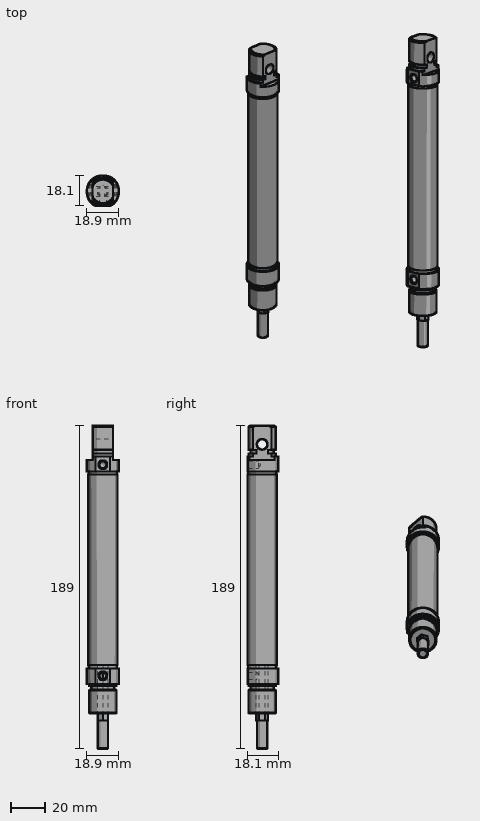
import cadquery as cq
import math

overall_length = 189.0
rod_hex_bottom = 16.5
bearing_cap_bottom = 20.6
bearing_groove_bottom = 34.5
bearing_groove_top = 36.7
bearing_collar_bottom = 37.8
bearing_collar_top = 47.0
barrel_bottom = 49.0
barrel_top = 160.5
end_collar_bottom = 162.2
end_flats_bottom = 169.0
end_collar_top = 171.0
end_groove_bottom = 172.7
end_groove_top = 174.6

collar_diameter = 18.9
barrel_diameter = 17.2
neck_diameter = 16.6
thread_diameter = 16.0
groove_diameter = 13.6
rod_diameter = 6.0
rod_hex_width = rod_diameter
end_flat_width = 12.0
port_face_depth = 1.04

pivot_hole_diameter = 6.0
pivot_hole_height = 178.0
port_diameter = 4.2
port_mouth_diameter = 5.1
port_drill_angle = 118.0
port_depth = 6.2
bearing_port_height = 42.7
end_port_height = 166.1
bearing_chamfer_radial = 0.8
bearing_chamfer_axial = 0.5
end_groove_chamfer = 0.4
tip_chamfer_radial = 1.1
tip_chamfer_axial = 0.8
rod_chamfer = 0.5

collar_radius = collar_diameter / 2
barrel_radius = barrel_diameter / 2
neck_radius = neck_diameter / 2
thread_radius = thread_diameter / 2
groove_radius = groove_diameter / 2
port_face_offset = collar_radius - port_face_depth


def turned(profile):
    """Solid of revolution about Z, from (radius, height) points listed upwards."""
    points = [(0, profile[0][1])] + profile + [(0, profile[-1][1])]
    return cq.Workplane("XZ").polyline(points).close().revolve(360, (0, 0), (0, 1))


def hex_bar(bottom, top):
    """Hexagonal bar on the axis, with corners toward +Y and -Y."""
    across_corners = rod_hex_width / math.cos(math.radians(30))
    bar = cq.Workplane("XY").polygon(6, across_corners).extrude(top - bottom)
    return bar.rotate((0, 0, 0), (0, 0, 1), 90).translate((0, 0, bottom))


def port_face_cut(bottom, top):
    """Block that mills the flat face on the -Y side of a collar."""
    block = cq.Workplane("XY").box(collar_diameter, collar_diameter, top - bottom)
    return block.translate((0, -port_face_offset - collar_radius, (bottom + top) / 2))


def port_cut(height):
    """Port drilled along +Y from its flat face, with a chamfered mouth and a drill point."""
    radius = port_diameter / 2
    mouth_radius = port_mouth_diameter / 2
    point_length = radius / math.tan(math.radians(port_drill_angle / 2))
    outline = [
        (0, 0),
        (mouth_radius, 0),
        (radius, mouth_radius - radius),
        (radius, port_depth),
        (0, port_depth + point_length),
    ]
    drill = cq.Workplane("XZ").polyline(outline).close().revolve(360, (0, 0), (0, 1))
    return drill.rotate((0, 0, 0), (1, 0, 0), -90).translate((0, -port_face_offset, height))


def make_piston_rod():
    threaded_end = cq.Workplane("XY").circle(rod_diameter / 2).extrude(rod_hex_bottom)
    threaded_end = threaded_end.faces("<Z").chamfer(rod_chamfer)
    return threaded_end.union(hex_bar(rod_hex_bottom, barrel_bottom))


def make_bearing_cap():
    cap = turned([
        (thread_radius - bearing_chamfer_radial, bearing_cap_bottom),
        (thread_radius, bearing_cap_bottom + bearing_chamfer_axial),
        (thread_radius, bearing_groove_bottom - bearing_chamfer_axial),
        (thread_radius - bearing_chamfer_radial, bearing_groove_bottom),
        (groove_radius, bearing_groove_bottom),
        (groove_radius, bearing_groove_top),
        (thread_radius, bearing_groove_top),
        (thread_radius, bearing_collar_bottom),
        (collar_radius, bearing_collar_bottom),
        (collar_radius, bearing_collar_top),
        (neck_radius, bearing_collar_top),
        (neck_radius, barrel_bottom),
    ])
    cap = cap.cut(port_face_cut(bearing_collar_bottom, bearing_collar_top))
    cap = cap.cut(port_cut(bearing_port_height))
    return cap.cut(hex_bar(bearing_cap_bottom, barrel_bottom))


def make_barrel():
    length = barrel_top - barrel_bottom
    return cq.Workplane("XY").workplane(offset=barrel_bottom).circle(barrel_radius).extrude(length)


def make_end_cap():
    cap = turned([
        (neck_radius, barrel_top),
        (neck_radius, end_collar_bottom),
        (collar_radius, end_collar_bottom),
        (collar_radius, end_collar_top),
        (thread_radius, end_collar_top),
        (thread_radius, end_groove_bottom),
        (groove_radius, end_groove_bottom),
        (groove_radius, end_groove_top),
        (thread_radius - end_groove_chamfer, end_groove_top),
        (thread_radius, end_groove_top + end_groove_chamfer),
        (thread_radius, overall_length - tip_chamfer_axial),
        (thread_radius - tip_chamfer_radial, overall_length),
    ])
    cap = cap.cut(port_face_cut(end_collar_bottom, end_collar_top))
    cap = cap.cut(port_cut(end_port_height))

    flats_height = overall_length - end_flats_bottom
    flats_middle = end_flats_bottom + flats_height / 2
    for side in (-1, 1):
        block = cq.Workplane("XY").box(collar_diameter, collar_diameter, flats_height)
        cap = cap.cut(block.translate((side * (end_flat_width / 2 + collar_radius), 0, flats_middle)))

    pivot_hole = (
        cq.Workplane("YZ", origin=(0, 0, pivot_hole_height))
        .circle(pivot_hole_diameter / 2)
        .extrude(collar_radius, both=True)
    )
    return cap.cut(pivot_hole)


piston_rod = make_piston_rod()
bearing_cap = make_bearing_cap()
barrel = make_barrel()
end_cap = make_end_cap()

result = cq.Compound.makeCompound([
    piston_rod.val(),
    bearing_cap.val(),
    barrel.val(),
    end_cap.val(),
])